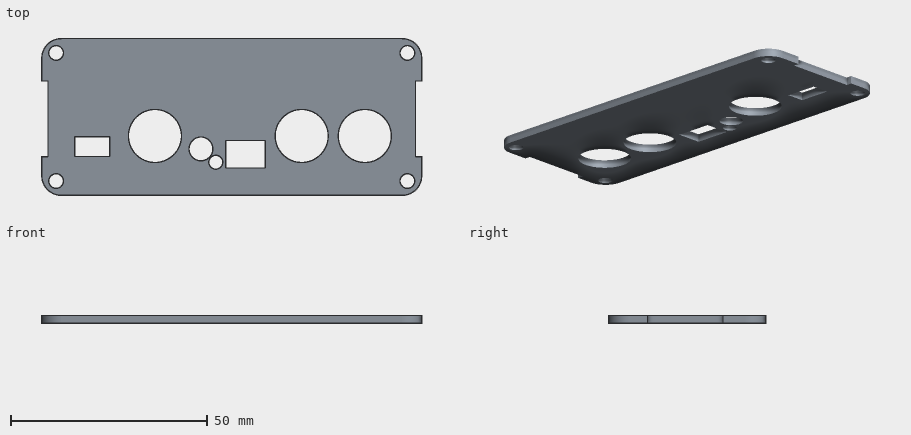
import cadquery as cq

length = 96.9
width = 40.0
thickness = 2.0
corner_radius = 5.0

screw_diameter = 3.7
screw_edge_distance = 3.7

notch_depth = 1.55
notch_width = 19.3
notch_center_y = -0.5

large_diameter = 13.5
large_center_y = -4.8
large_centers_x = (-19.6, 17.8, 33.9)

medium_diameter = 6.0
medium_center = (-7.85, -8.1)
small_diameter = 3.5
small_center = (-4.1, -11.5)

left_window_size = (8.8, 4.9)
left_window_center = (-35.6, -7.6)
middle_window_size = (10.0, 7.0)
middle_window_center = (3.5, -9.5)


def round_cutter(diameter, centers):
    """Cylinders through the plate at the given centres."""
    return cq.Workplane("XY").pushPoints(centers).circle(diameter / 2).extrude(thickness)


def window_cutter(size, centers):
    """Rectangular blocks through the plate at the given centres."""
    return cq.Workplane("XY").pushPoints(centers).rect(*size).extrude(thickness)


plate = cq.Workplane("XY").rect(length, width).extrude(thickness)
plate = plate.edges("|Z").fillet(corner_radius)

notch_centers = [(side * length / 2, notch_center_y) for side in (-1, 1)]
plate = plate.cut(window_cutter((2 * notch_depth, notch_width), notch_centers))

screw_x = length / 2 - screw_edge_distance
screw_y = width / 2 - screw_edge_distance
screw_centers = [(sx * screw_x, sy * screw_y) for sx in (-1, 1) for sy in (-1, 1)]
plate = plate.cut(round_cutter(screw_diameter, screw_centers))

large_centers = [(x, large_center_y) for x in large_centers_x]
plate = plate.cut(round_cutter(large_diameter, large_centers))
plate = plate.cut(round_cutter(medium_diameter, [medium_center]))
plate = plate.cut(round_cutter(small_diameter, [small_center]))

plate = plate.cut(window_cutter(left_window_size, [left_window_center]))
plate = plate.cut(window_cutter(middle_window_size, [middle_window_center]))

result = plate